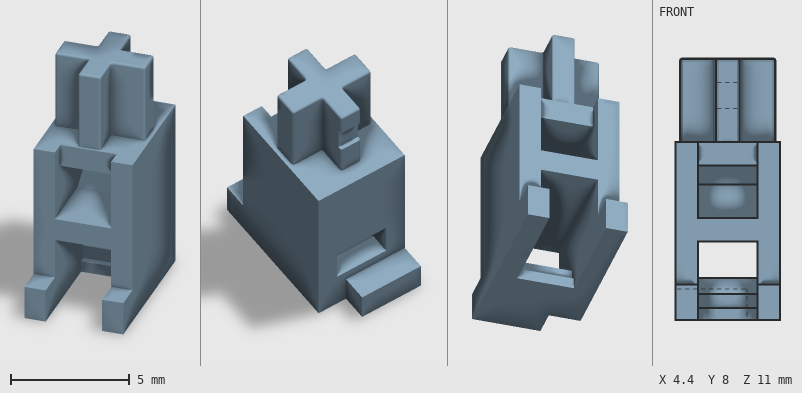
import cadquery as cq

body_width = 4.4
body_depth = 5.6
body_height = 7.5
body_front = -body_depth / 2
body_rear = body_depth / 2

foot_length = 1.2
front_foot_height = 1.5
rear_foot_height = 1.3
rear_foot_width = 3.0

channel_width = 2.5

pocket_floor = 4.3
pocket_ceiling = 6.5
pocket_rear = 2.0
pocket_ramp_rise = 1.4
pocket_ramp_run = 1.85
lip_setback = 0.7

passage_ceiling = 3.3
sill_step_height = 0.5
sill_wall_top = 1.1
sill_top = 1.78
sill_front = 0.6
sill_step_depth = 0.3
sill_ramp_run = 0.97

stem_height = 3.5
stem_span = 4.0
arm_width_along_x = 1.0
arm_width_along_y = 1.2
stem_round = 0.1

notch_bottom = 8.9
notch_top = 10.0
notch_depth = 0.2


def box(x_start, x_end, y_start, y_end, z_start, z_end):
    """Block between two opposite corners."""
    block = cq.Workplane("XY").box(x_end - x_start, y_end - y_start, z_end - z_start, centered=False)
    return block.translate((x_start, y_start, z_start))


def channel_prism(side_profile):
    """Profile of (y, z) points, as wide as the channel between the side walls."""
    return cq.Workplane("YZ").polyline(side_profile).close().extrude(channel_width / 2, both=True)


def make_body():
    """Main block with a pair of full-width feet in front and a narrower one at the rear."""
    half_width = body_width / 2
    block = box(-half_width, half_width, body_front, body_rear, 0, body_height)
    front_foot = box(-half_width, half_width, body_front - foot_length, body_front, 0, front_foot_height)
    rear_foot = box(-half_width, rear_foot_width - half_width, body_rear, body_rear + foot_length,
                    0, rear_foot_height)
    return block.union(front_foot).union(rear_foot)


def make_pocket():
    """Upper pocket, including the setback of the lip above its mouth."""
    lip_face = body_front + lip_setback
    return channel_prism([
        (body_front, pocket_floor),
        (pocket_rear - pocket_ramp_run, pocket_floor),
        (pocket_rear, pocket_floor + pocket_ramp_rise),
        (pocket_rear, pocket_ceiling),
        (lip_face, pocket_ceiling),
        (lip_face, body_height),
        (body_front, body_height),
    ])


def make_passage():
    """Lower passage, following the step and the ramp of the sill."""
    sill_wall = sill_front + sill_step_depth
    return channel_prism([
        (body_front - foot_length, 0),
        (sill_front, 0),
        (sill_front, sill_step_height),
        (sill_wall, sill_step_height),
        (sill_wall, sill_wall_top),
        (sill_wall + sill_ramp_run, sill_top),
        (body_rear, sill_top),
        (body_rear, passage_ceiling),
        (body_front - foot_length, passage_ceiling),
    ])


def make_stem():
    """Cross with rounded vertical and top edges, notched at the end of its rear arm."""
    base = cq.Workplane("XY").workplane(offset=body_height)
    arm_along_x = base.rect(stem_span, arm_width_along_y).extrude(stem_height)
    arm_along_y = base.rect(arm_width_along_x, stem_span).extrude(stem_height)
    cross = arm_along_x.union(arm_along_y).clean()
    cross = cross.edges("|Z").fillet(stem_round)
    cross = cross.faces(">Z").edges().fillet(stem_round)
    half_arm = arm_width_along_x / 2
    arm_end = stem_span / 2
    notch = box(-half_arm, half_arm, arm_end - notch_depth, arm_end, notch_bottom, notch_top)
    return cross.cut(notch)


result = make_body().cut(make_pocket()).cut(make_passage()).union(make_stem())